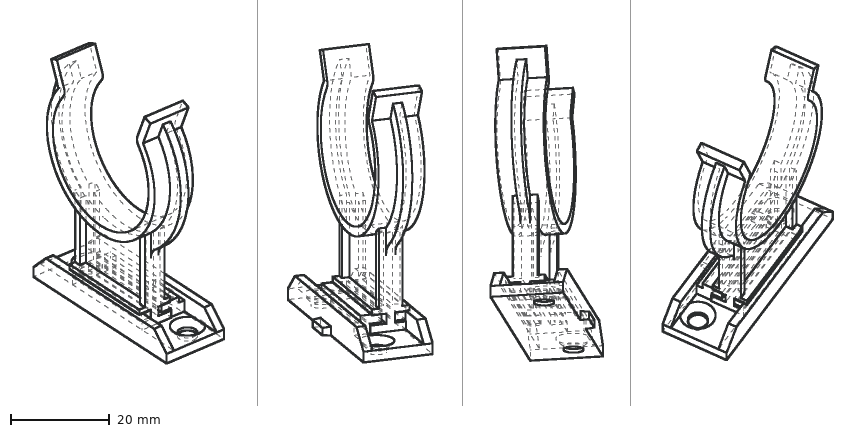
import cadquery as cq
import math

base_length = 43.0
base_depth = 15.05
floor_height = 2.3
wall_height = 6.35
wall_thickness = 1.95
wall_end_slope = wall_height - floor_height
screw_x = 15.85
screw_y = 10.0
screw_radius = 2.05
sink_radius = 3.6
tab_length = 16.8 - base_depth
tab_width = 6.0
tab_height = 1.95
tab_taper = 0.15
rear_rail_y = 9.6
rear_lip_y = 7.15
rear_step_y = 11.7
rear_step_z = 5.0
rail_underside_z = 4.4
rail_half_length = 11.05

total_height = 55.3
clip_y = 5.2
ring_z = 37.95
ring_outer_radius = 17.4
strip_thickness = 2.0
ring_inner_radius = ring_outer_radius - strip_thickness
ring_middle_radius = ring_outer_radius - strip_thickness / 2
ring_width = 10.0
mouth_half_angle = math.radians(51.6)
lip_tilt = math.radians(22)
rib_radius = 20.9
rib_thickness = 2.0
rib_blend_radius = 3.0
column_width = 22.5
column_depth = 5.15
column_edge_width = 1.55
foot_depth = 8.1
foot_bottom_z = 6.2
foot_top_z = 7.45
neck_thickness = 1.95
slider_top_z = 4.05
neck_front_y = clip_y - neck_thickness / 2


def box(width, y_min, y_max, z_min, z_max):
    """Box centred on X = 0 between the given Y and Z limits."""
    size = (width, y_max - y_min, z_max - z_min)
    return cq.Workplane("XY").box(*size, centered=(True, False, False)).translate((0, y_min, z_min))


def centred_box(width, depth, z_min, z_max):
    """Box centred on X = 0 and on the middle plane of the clip."""
    return box(width, clip_y - depth / 2, clip_y + depth / 2, z_min, z_max)


def clip_plane(depth):
    """XZ sketch plane whose +Y extrusion of this depth is centred on the clip."""
    return cq.Workplane("XZ", origin=(0, clip_y + depth / 2, 0))


def make_wall(y_min):
    half = base_length / 2
    wall = (
        cq.Workplane("XZ", origin=(0, y_min + wall_thickness, 0))
        .moveTo(-half, floor_height)
        .lineTo(half, floor_height)
        .lineTo(half - wall_end_slope, wall_height)
        .lineTo(-half + wall_end_slope, wall_height)
        .close()
        .extrude(wall_thickness)
    )
    return wall


def make_floor():
    floor = box(base_length, 0, base_depth, 0, floor_height)
    return (
        floor.faces(">Z").workplane(origin=(0, 0, 0))
        .pushPoints([(-screw_x, screw_y), (screw_x, screw_y)])
        .cskHole(2 * screw_radius, 2 * sink_radius, 90)
    )


def make_rails():
    inner_rear_y = base_depth - wall_thickness
    rear_profile = [
        (rear_rail_y, floor_height),
        (inner_rear_y, floor_height),
        (inner_rear_y, rear_step_z),
        (rear_step_y, rear_step_z),
        (rear_step_y, wall_height),
        (rear_lip_y, wall_height),
        (rear_lip_y, rail_underside_z),
        (rear_rail_y, rail_underside_z),
    ]
    rear = cq.Workplane("YZ").polyline(rear_profile).close().extrude(rail_half_length, both=True)
    front = box(2 * rail_half_length, wall_thickness, neck_front_y, rail_underside_z, wall_height)
    return rear.union(front)


def make_tab():
    """Tab on the rear wall, tapering towards its tip."""
    return (
        cq.Workplane("XZ", origin=(0, base_depth, 0))
        .center(0, tab_height / 2)
        .rect(tab_width, tab_height)
        .workplane(offset=-tab_length)
        .rect(tab_width - 2 * tab_taper, tab_height - 2 * tab_taper)
        .loft(combine=True)
    )


def make_base():
    base = make_floor()
    for wall_y in (0, base_depth - wall_thickness):
        base = base.union(make_wall(wall_y))
    base = base.union(make_rails()).union(make_tab())
    foot_seat = centred_box(column_width, foot_depth, foot_bottom_z, wall_height)
    return base.cut(foot_seat)


sin_mouth, cos_mouth = math.sin(mouth_half_angle), math.cos(mouth_half_angle)
corner_x = ring_outer_radius * sin_mouth
corner_z = ring_z + ring_outer_radius * cos_mouth
lip_length = (total_height - corner_z - strip_thickness * math.sin(lip_tilt)) / math.cos(lip_tilt)


def along_lip(distance, inward):
    """Point on the lip at a distance from the corner, offset towards the mouth."""
    return (
        corner_x + distance * math.sin(lip_tilt) - inward * math.cos(lip_tilt),
        corner_z + distance * math.cos(lip_tilt) + inward * math.sin(lip_tilt),
    )


def mirrored(point):
    """The same point on the left half of the clip."""
    return (-point[0], point[1])


def make_ring():
    """Open ring of constant thickness with two lips flaring out from its mouth."""
    inner_end = (ring_inner_radius * sin_mouth, ring_z + ring_inner_radius * cos_mouth)
    bend_angle = (lip_tilt - (math.pi / 2 - mouth_half_angle)) / 2
    bend_middle = (
        corner_x - strip_thickness * math.cos(bend_angle),
        corner_z + strip_thickness * math.sin(bend_angle),
    )
    return (
        clip_plane(ring_width)
        .moveTo(-corner_x, corner_z)
        .threePointArc((0, ring_z - ring_outer_radius), (corner_x, corner_z))
        .lineTo(*along_lip(lip_length, 0))
        .lineTo(*along_lip(lip_length, strip_thickness))
        .lineTo(*along_lip(0, strip_thickness))
        .threePointArc(bend_middle, inner_end)
        .threePointArc((0, ring_z - ring_inner_radius), mirrored(inner_end))
        .threePointArc(mirrored(bend_middle), mirrored(along_lip(0, strip_thickness)))
        .lineTo(*mirrored(along_lip(lip_length, strip_thickness)))
        .lineTo(*mirrored(along_lip(lip_length, 0)))
        .close()
        .extrude(ring_width)
    )


def make_rib():
    """Right-hand rib, rooted inside the ring wall, blended into the column and ending on the lip."""
    half_b = corner_x * math.sin(lip_tilt) + (corner_z - ring_z) * math.cos(lip_tilt)
    reach = -half_b + math.sqrt(half_b**2 + rib_radius**2 - ring_outer_radius**2)
    column_x = column_width / 2
    blend_x = column_x + rib_blend_radius
    blend_distance = rib_radius + rib_blend_radius
    blend_z = ring_z - math.sqrt(blend_distance**2 - blend_x**2)
    share = rib_radius / blend_distance
    blend_end = (blend_x * share, ring_z + (blend_z - ring_z) * share)
    seat_x = column_x - column_edge_width
    seat_z = ring_z - math.sqrt(ring_middle_radius**2 - seat_x**2)
    root_end = (ring_middle_radius * sin_mouth, ring_z + ring_middle_radius * cos_mouth)
    return (
        clip_plane(rib_thickness)
        .moveTo(seat_x, seat_z)
        .lineTo(seat_x, blend_z)
        .lineTo(column_x, blend_z)
        .radiusArc(blend_end, rib_blend_radius)
        .threePointArc((rib_radius, ring_z), along_lip(reach, 0))
        .lineTo(*root_end)
        .threePointArc((ring_middle_radius, ring_z), (seat_x, seat_z))
        .close()
        .extrude(rib_thickness)
    )


def make_column():
    """Web with a wide edge on each side, rooted in the ring wall."""
    column = centred_box(column_width, rib_thickness, foot_top_z, ring_z)
    for side in (-1, 1):
        edge = centred_box(column_edge_width, column_depth, foot_top_z, ring_z)
        column = column.union(edge.translate((side * (column_width - column_edge_width) / 2, 0, 0)))
    bore = clip_plane(ring_width).center(0, ring_z).circle(ring_middle_radius).extrude(ring_width)
    return column.cut(bore)


def make_foot():
    foot = centred_box(column_width, foot_depth, foot_bottom_z, foot_top_z)
    neck = centred_box(column_width, neck_thickness, slider_top_z, foot_bottom_z)
    slider = box(column_width, wall_thickness, rear_rail_y, floor_height, slider_top_z)
    return foot.union(neck).union(slider)


def make_clip():
    rib = make_rib()
    return make_ring().union(make_column()).union(make_foot()).union(rib).union(rib.mirror("YZ"))


base = make_base().solids()
clip = make_clip().solids()
result = cq.Compound.makeCompound([base.val(), clip.val()])